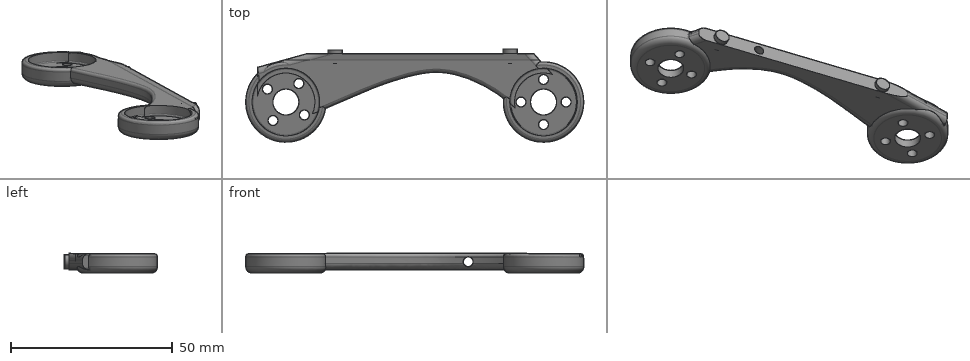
import cadquery as cq
import math

CUP_SPACING = 80.0
CUP_DIAMETER = 25.0
CUP_HEIGHT = 6.0
POCKET_DIAMETER = 21.0
POCKET_DEPTH = 3.0
POCKET_FLOOR_ROUND = 0.3
CENTRE_HOLE_DIAMETER = 8.0
SCREW_HOLE_DIAMETER = 3.0
SCREW_CIRCLE_DIAMETER = 14.0
SCREW_COUNT = 4
LEFT_SCREW_ANGLE = 55.0
RIGHT_SCREW_ANGLE = 0.0
CUP_CENTRES = [(0.0, 0.0), (CUP_SPACING, 0.0)]
SCREW_ANGLES = [LEFT_SCREW_ANGLE, RIGHT_SCREW_ANGLE]

ARM_THICKNESS = 5.0
ARM_MID_Z = -ARM_THICKNESS / 2
SEAT_RADIUS = 9.0
TOP_ROUND = 1.0
BOTTOM_ROUND = 2.0
SLANT_ROUND = 2.0
TIP_ROUND = 0.5

BACK_Y = 15.0
RIDGE_WIDTH = 2.0
RIDGE_RISE = 0.2
RIDGE_Y = BACK_Y - RIDGE_WIDTH
RIDGE_SLOPE = RIDGE_RISE / RIDGE_WIDTH
BACK_LEFT_X = 6.4
BACK_RIGHT_X = 77.0

TIP_X = -8.8
TIP_Y = 10.8
LEFT_SLOPE = (BACK_Y - TIP_Y) / (BACK_LEFT_X - TIP_X)
RIGHT_SLOPE = -1.12
RIGHT_END_Y = 7.5
RIGHT_END_X = BACK_RIGHT_X + (RIGHT_END_Y - BACK_Y) / RIGHT_SLOPE
APEX_X = (LEFT_SLOPE * BACK_LEFT_X - RIGHT_SLOPE * BACK_RIGHT_X) / (LEFT_SLOPE - RIGHT_SLOPE)
APEX_Y = BACK_Y + LEFT_SLOPE * (APEX_X - BACK_LEFT_X)

FRONT_CURVE = [
    (8.5, -3.6),
    (28.0, 4.65),
    (37.6, 7.8),
    (47.5, 9.2),
    (56.6, 7.25),
    (71.2, -1.9),
]

CROSS_HOLE_DIAMETER = 3.0
CROSS_HOLE_X = 56.6

PIN_DIAMETER = 4.5
PIN_EMBEDDED = 3.0
LEFT_PIN_X = 15.25
LEFT_PIN_PROUD = 1.2
RIGHT_PIN_X = 69.6
RIGHT_PIN_PROUD = 1.51


def cylinder_z(centre, radius, z_low, z_high):
    """Upright cylinder between two heights."""
    disc = cq.Workplane("XY", origin=(0, 0, z_low)).center(*centre).circle(radius)
    return disc.extrude(z_high - z_low)


def cylinder_y(x, diameter, y_low, y_high):
    """Cylinder along Y at the arm's mid-thickness."""
    disc = cq.Workplane("XZ", origin=(x, y_low, ARM_MID_Z)).circle(diameter / 2)
    return disc.extrude(y_low - y_high)


def block(y_low, y_high):
    """Box that spans the whole arm in X and Z between two Y values."""
    length = 3 * CUP_SPACING
    box = cq.Workplane("XY").box(length, y_high - y_low, 4 * ARM_THICKNESS, centered=(True, False, True))
    return box.translate((CUP_SPACING / 2, y_low, 0))


def tapered_plate(slope):
    """Arm outline with a flat bottom and a top face that climbs along +Y with the given slope.

    The plate is ARM_THICKNESS thick at RIDGE_Y. The slanted edges run on up to the apex.
    """
    outline = (
        cq.Workplane("XY", origin=(0, 0, -2 * ARM_THICKNESS))
        .moveTo(*FRONT_CURVE[0])
        .spline(FRONT_CURVE[1:], includeCurrent=True)
        .lineTo(CUP_SPACING, 0)
        .lineTo(RIGHT_END_X, RIGHT_END_Y)
        .lineTo(APEX_X, APEX_Y)
        .lineTo(TIP_X, TIP_Y)
        .lineTo(TIP_X, 0)
        .lineTo(0, 0)
        .close()
        .extrude(4 * ARM_THICKNESS)
    )
    y_front = FRONT_CURVE[0][1] - 1
    y_back = APEX_Y + 1
    front_rise = slope * (y_front - RIDGE_Y)
    back_rise = slope * (y_back - RIDGE_Y)
    profile = (
        cq.Workplane("YZ", origin=(-CUP_SPACING, 0, 0))
        .moveTo(y_front, front_rise)
        .lineTo(y_back, back_rise)
        .lineTo(y_back, -ARM_THICKNESS)
        .lineTo(y_front, -ARM_THICKNESS)
        .close()
        .extrude(3 * CUP_SPACING)
    )
    return outline.intersect(profile)


def round_slants(body, slope):
    """Round the two slanted edges, found by their midpoints, above and below."""
    picked = []
    for end_x, end_y in [(TIP_X, TIP_Y), (RIGHT_END_X, RIGHT_END_Y)]:
        x = (end_x + APEX_X) / 2
        y = (end_y + APEX_Y) / 2
        rise = slope * (y - RIDGE_Y)
        for z in [rise, -ARM_THICKNESS]:
            picked.append(body.edges(cq.NearestToPointSelector((x, y, z))).val())
    return body.newObject(picked).fillet(SLANT_ROUND)


def tip_rounding_block():
    """Block as thick as the arm whose end at the tip has rounded edges above and below."""
    size = 3 * CUP_SPACING
    box = cq.Workplane("XY").box(size, size, ARM_THICKNESS, centered=(False, True, False))
    return box.edges("<X and |Y").fillet(TIP_ROUND).translate((TIP_X, 0, -ARM_THICKNESS))


def arm_plate():
    """Flat plate with rounded edges, thickened into a ridge along its straight back edge."""
    flat = tapered_plate(0)
    flat = flat.edges("%BSPLINE").edges(">Z").fillet(TOP_ROUND)
    flat = flat.edges("%BSPLINE").edges("<Z").fillet(BOTTOM_ROUND)
    flat = round_slants(flat, 0)
    flat = flat.intersect(tip_rounding_block())
    ridge = tapered_plate(RIDGE_SLOPE).intersect(block(RIDGE_Y - RIDGE_WIDTH, CUP_SPACING))
    ridge = round_slants(ridge, RIDGE_SLOPE)
    flat = flat.intersect(block(-CUP_DIAMETER, RIDGE_Y))
    return flat.union(ridge.intersect(block(RIDGE_Y, BACK_Y)))


def pocket(centre):
    """Tool for the round pocket in the top of a cup, with a small round around its floor."""
    tool = cylinder_z(centre, POCKET_DIAMETER / 2, -POCKET_DEPTH, CUP_HEIGHT)
    return tool.faces("<Z").edges().fillet(POCKET_FLOOR_ROUND)


def make_pin(x, proud):
    """Pin standing proud of the back edge."""
    return cylinder_y(x, PIN_DIAMETER, BACK_Y - PIN_EMBEDDED, BACK_Y + proud)


def make_arm(pins):
    """Plate cut back to the round seats and pockets, with the cross hole and the pin holes."""
    arm = arm_plate()
    for centre in CUP_CENTRES:
        arm = arm.cut(cylinder_z(centre, SEAT_RADIUS, -2 * CUP_HEIGHT, CUP_HEIGHT))
        arm = arm.cut(pocket(centre))
    arm = arm.cut(cylinder_y(CROSS_HOLE_X, CROSS_HOLE_DIAMETER, 0, 2 * BACK_Y))
    for pin in pins:
        arm = arm.cut(pin)
    return arm


def cup_blank(centre, screw_angle):
    """Round cup with a pocket, a centre hole and a screw circle."""
    cup = cylinder_z(centre, CUP_DIAMETER / 2, -CUP_HEIGHT, 0)
    cup = cup.faces(">Z").edges().fillet(TOP_ROUND)
    cup = cup.faces("<Z").edges().fillet(BOTTOM_ROUND)
    cup = cup.cut(pocket(centre))
    cup = cup.cut(cylinder_z(centre, CENTRE_HOLE_DIAMETER / 2, -2 * CUP_HEIGHT, CUP_HEIGHT))
    for index in range(SCREW_COUNT):
        angle = math.radians(screw_angle + index * 360 / SCREW_COUNT)
        hole_x = centre[0] + SCREW_CIRCLE_DIAMETER / 2 * math.cos(angle)
        hole_y = centre[1] + SCREW_CIRCLE_DIAMETER / 2 * math.sin(angle)
        hole = cylinder_z((hole_x, hole_y), SCREW_HOLE_DIAMETER / 2, -2 * CUP_HEIGHT, CUP_HEIGHT)
        cup = cup.cut(hole)
    return cup


def seat_arm(cup, arm):
    """Cut the arm's seat into a cup and return the seated cup and the arm.

    A sliver of rim that lies on the arm's rounded edge, cut off from the cup, is joined to the arm.
    """
    pieces = sorted(cup.cut(arm).solids().vals(), key=lambda piece: piece.Volume())
    for sliver in pieces[:-1]:
        arm = arm.union(cq.Workplane(sliver))
    return cq.Workplane(pieces[-1]), arm


pins = [make_pin(LEFT_PIN_X, LEFT_PIN_PROUD), make_pin(RIGHT_PIN_X, RIGHT_PIN_PROUD)]
arm = make_arm(pins)
cups = []
for centre, screw_angle in zip(CUP_CENTRES, SCREW_ANGLES):
    cup, arm = seat_arm(cup_blank(centre, screw_angle), arm)
    cups.append(cup)

bodies = [arm, *cups, *pins]
result = cq.Compound.makeCompound([body.solids().val() for body in bodies])